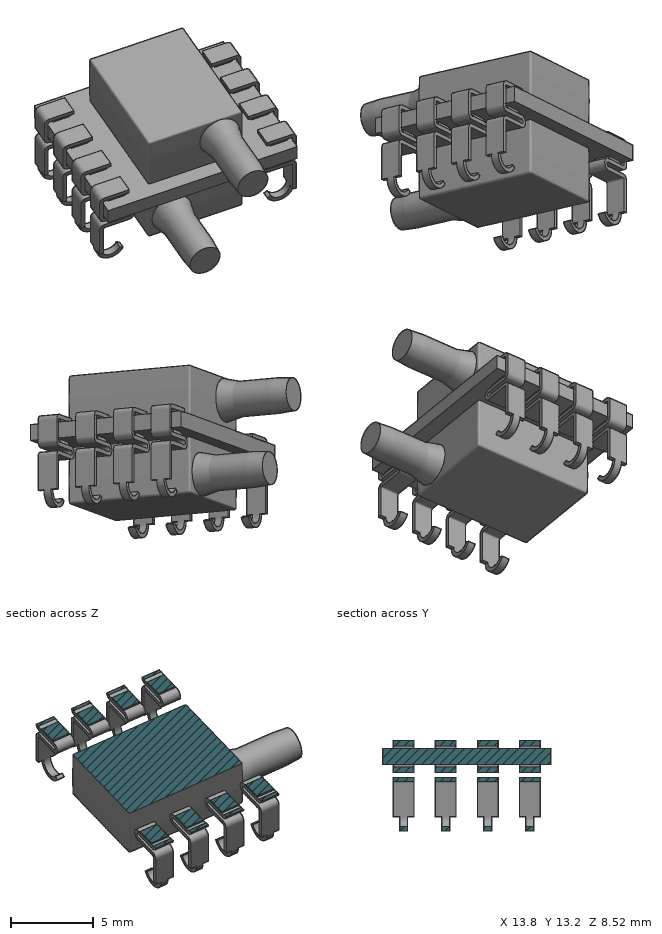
import cadquery as cq
import math


overall_length = 13.78
overall_width = 13.22

board_length = 10.15
board_width = 12.7
board_thickness = 0.98

body_length = 8.24
body_width = 6.35
body_height = 7.88
parting_height = 2.54
draft_angle = 1.0
body_edge_radius = 0.14

port_spacing = 3.21
port_diameter = 2.16
port_radius = port_diameter / 2
port_root_radius = 1.32
port_tip_radius = 1.0
port_straight_start = 5.14
port_straight_length = 2.54
port_end = overall_length - board_length / 2

lead_count = 4
lead_row_span = 7.62
lead_pitch = lead_row_span / (lead_count - 1)
lead_width = 1.27
lead_thickness = (overall_width - board_width) / 2
lead_top = 0.98
lead_inner_bend_radius = 0.1
lead_arm_depth = 1.98
fold_gap = 0.28
fold_centre_depth = 1.95
wall_bottom = -3.64
lead_outer_y = board_width / 2 + lead_thickness

hook_width = 0.5
hook_outer_radius = 0.94
hook_end_angle = 28.0

solder_length = 1.32
solder_centre_depth = 1.17
solder_inset = 0.12


def make_board():
    return cq.Workplane("XY").box(board_length, board_width, board_thickness)


def make_body_block(height):
    """Drafted block with rounded corners that narrows over the given height."""
    outline = cq.Sketch().rect(body_length, body_width).vertices().fillet(body_edge_radius)
    return cq.Workplane("XY").placeSketch(outline).extrude(height, taper=draft_angle)


def make_body_half():
    """Upper half of the body: it narrows both ways from the parting plane."""
    cap = make_body_block(body_height / 2 - parting_height)
    cap = cap.faces(">Z").edges().fillet(body_edge_radius)
    base = make_body_block(parting_height).mirror("XY")
    return cap.union(base).translate((0, 0, parting_height))


def make_port():
    """Solid port: flared root, straight barrel and slightly tapered tip."""
    body_face = body_length / 2
    flare = (port_root_radius - port_radius) / (port_straight_start - body_face)
    buried_start = body_face - 2 * body_edge_radius
    buried_radius = port_radius + flare * (port_straight_start - buried_start)
    straight_end = port_straight_start + port_straight_length
    port = (
        cq.Workplane("XY")
        .moveTo(buried_start, 0)
        .lineTo(buried_start, buried_radius)
        .lineTo(port_straight_start, port_radius)
        .lineTo(straight_end, port_radius)
        .lineTo(port_end, port_tip_radius)
        .lineTo(port_end, 0)
        .close()
        .revolve(360, (0, 0, 0), (1, 0, 0))
    )
    return port.translate((0, port_spacing / 2, parting_height))


def make_lead_strip():
    """Full-width strip of one -Y lead, swept along its centre line."""
    wall_y = -lead_outer_y + lead_thickness / 2
    bend = lead_inner_bend_radius + lead_thickness / 2
    arm_end_y = -lead_outer_y + lead_arm_depth
    fold_y = -lead_outer_y + fold_centre_depth
    arm_z = lead_top - lead_thickness / 2
    fold_lower_z = -arm_z - fold_gap - lead_thickness
    path = (
        cq.Workplane("YZ")
        .moveTo(arm_end_y, arm_z)
        .lineTo(wall_y + bend, arm_z)
        .tangentArcPoint((wall_y, arm_z - bend), relative=False)
        .lineTo(wall_y, -arm_z + bend)
        .tangentArcPoint((wall_y + bend, -arm_z), relative=False)
        .lineTo(fold_y, -arm_z)
        .tangentArcPoint((fold_y, fold_lower_z), relative=False)
        .lineTo(wall_y + bend, fold_lower_z)
        .tangentArcPoint((wall_y, fold_lower_z - bend), relative=False)
        .lineTo(wall_y, wall_bottom)
    )
    section = cq.Workplane("XZ", origin=(0, arm_end_y, arm_z)).rect(lead_width, lead_thickness)
    return section.sweep(path)


def make_hook():
    """Narrow foot that curls inwards under the lead wall."""
    inner_radius = hook_outer_radius - lead_thickness
    centre_y = -lead_outer_y + hook_outer_radius

    def arc_point(radius, degrees):
        angle = math.radians(degrees)
        return centre_y + radius * math.cos(angle), wall_bottom + radius * math.sin(angle)

    return (
        cq.Workplane("YZ")
        .moveTo(*arc_point(hook_outer_radius, -180))
        .threePointArc(
            arc_point(hook_outer_radius, -90),
            arc_point(hook_outer_radius, -hook_end_angle),
        )
        .lineTo(*arc_point(inner_radius, -hook_end_angle))
        .threePointArc(arc_point(inner_radius, -90), arc_point(inner_radius, -180))
        .close()
        .extrude(hook_width / 2, both=True)
    )


def make_solder():
    """Upper solder joint: a flat pyramid narrowing from the lead to the board."""
    height = lead_top - lead_thickness - board_thickness / 2
    slope = math.degrees(math.atan2(solder_inset, height))
    joint = cq.Workplane("XY").rect(lead_width, solder_length).extrude(height, taper=slope)
    joint = joint.mirror("XY")
    return joint.translate((0, -lead_outer_y + solder_centre_depth, lead_top - lead_thickness))


def make_lead():
    """One -Y lead with its foot and the solder joints above and below the board."""
    solder = make_solder()
    return make_lead_strip().union(make_hook()).union(solder).union(solder.mirror("XY"))


result = make_board()

body_half = make_body_half().union(make_port())
result = result.union(body_half)
result = result.union(body_half.rotate((0, 0, 0), (1, 0, 0), 180))

front_lead = make_lead()
back_lead = front_lead.mirror("XZ")
for index in range(lead_count):
    lead_x = (index - (lead_count - 1) / 2) * lead_pitch
    result = result.union(front_lead.translate((lead_x, 0, 0)))
    result = result.union(back_lead.translate((lead_x, 0, 0)))